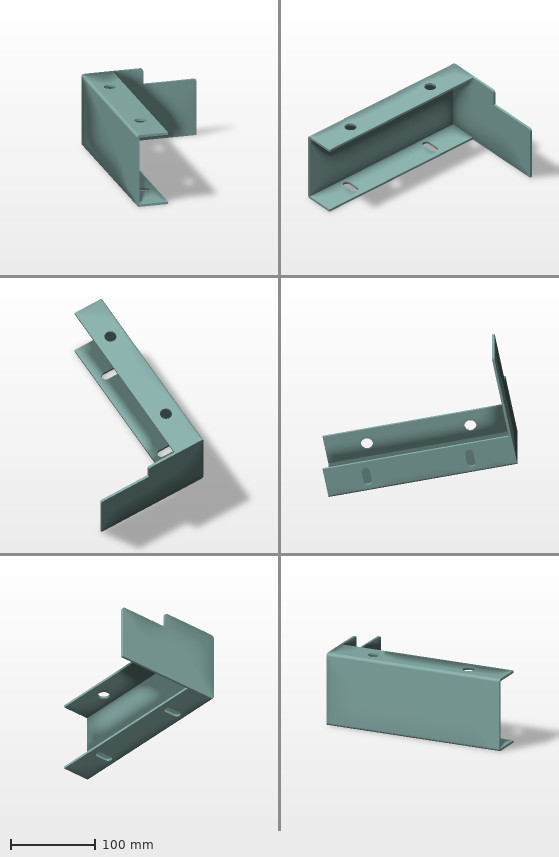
import cadquery as cq

length = 228.0
plate_depth = 142.0
height = 90.0

thickness = 3.0
corner_radius = 3.5
flange_depth = 38.5

step_y = 76.0
low_height = 70.2

hole_xs = (53.1, 178.0)
hole_y = 19.4
hole_diameter = 14.1
slot_width = 9.5
slot_length = 22.8


def make_channel():
    """C-section along X, open towards +Y, with rounded front edges."""
    outer = (
        cq.Workplane("XY")
        .box(length, flange_depth, height, centered=False)
        .edges("|X and <Y")
        .fillet(corner_radius)
    )
    cavity = (
        cq.Workplane("XY")
        .box(length, flange_depth, height - 2 * thickness, centered=False)
        .translate((0, thickness, thickness))
    )
    return outer.cut(cavity)


def make_end_plate():
    """Stepped plate closing the channel at X = 0 and reaching back in +Y."""
    outline = [
        (0, 0),
        (plate_depth, 0),
        (plate_depth, low_height),
        (step_y, low_height),
        (step_y, height),
        (0, height),
    ]
    plate = cq.Workplane("YZ").polyline(outline).close().extrude(thickness)
    front_corners = plate.edges("|X and <Y").fillet(corner_radius)
    step_corner = front_corners.edges(
        cq.selectors.NearestToPointSelector((thickness / 2, step_y, height))
    ).fillet(corner_radius)
    return step_corner.edges(
        cq.selectors.NearestToPointSelector((thickness / 2, plate_depth, low_height))
    ).fillet(corner_radius)


def make_hole_cutters():
    """Cutters for the top round holes and the slots directly below them."""
    centers = [(x, hole_y) for x in hole_xs]
    round_holes = (
        cq.Workplane("XY", origin=(0, 0, height - thickness))
        .pushPoints(centers)
        .circle(hole_diameter / 2)
        .extrude(thickness)
    )
    slots = (
        cq.Workplane("XY")
        .pushPoints(centers)
        .slot2D(slot_length, slot_width, 90)
        .extrude(thickness)
    )
    return round_holes.add(slots).combine()


result = make_channel().union(make_end_plate()).cut(make_hole_cutters())